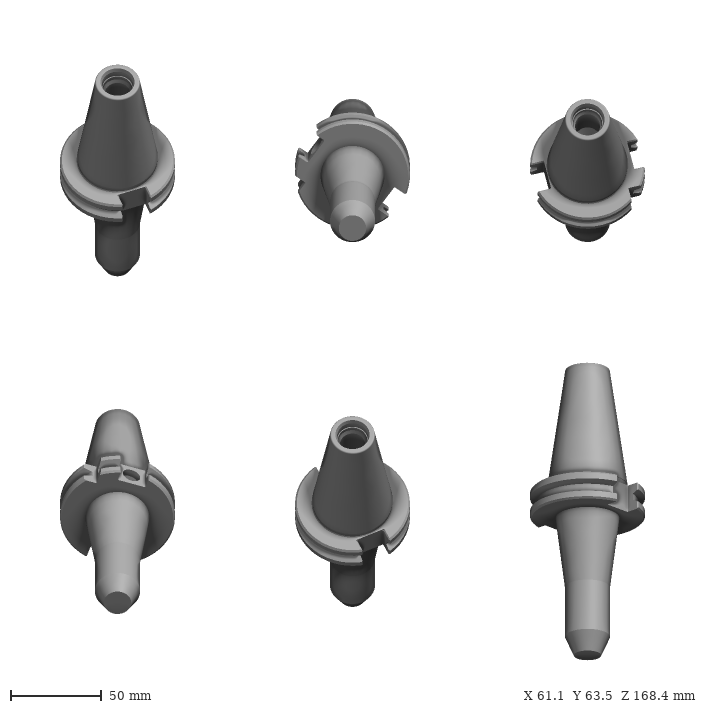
import cadquery as cq
import math

taper_length = 68.4
overall_length = 168.4
body_length = overall_length - taper_length

gauge_radius = 22.2
taper_ratio = 7 / 24
taper_end_radius = gauge_radius - taper_length * taper_ratio / 2
taper_end_rounding = 0.8

flange_radius = 63.5 / 2
flange_top = -3.2
flange_bottom = -19.0
flange_chamfer = 1.0
groove_middle = -11.1
groove_root_radius = 56.0 / 2
groove_root_width = 3.7
groove_mouth_width = 7.2

relief_radius = 22.0
relief_flare = 0.5

nose_top_radius = 17.7
nose_radius = 12.5
nose_cone_end = -60.0
tip_start = -89.0
tip_radius = 7.5

slot_width = 16.0
slot_edge_chamfer = 0.7
slot_corner_radius = 0.7
left_slot_floor = -24.6
right_slot_floor = 22.7

notch_x = -18.7
notch_y = 18.4
floor_hole_diameter = 10.1
floor_hole_depth = 4.2

bore_mouth_radius = 9.5
bore_radius = 8.6
bore_mouth_depth = 2.0
bore_depth = 5.7
thread_relief_radius = 8.0
thread_relief_depth = 8.3
thread_radius = 6.9
thread_start = 10.1
thread_depth = 30.3
drill_point_angle = 118


def revolve_profile(points):
    """Turn a closed (radius, height) outline around the Z axis."""
    return cq.Workplane("XZ").polyline(points).close().revolve(360, (0, 0, 0), (0, 1, 0))


def turned_body():
    root_half = groove_root_width / 2
    mouth_half = groove_mouth_width / 2
    body = revolve_profile([
        (0, taper_length),
        (taper_end_radius, taper_length),
        (gauge_radius, 0),
        (relief_radius, relief_radius - gauge_radius),
        (relief_radius, flange_top + relief_flare),
        (relief_radius + relief_flare, flange_top),
        (flange_radius - flange_chamfer, flange_top),
        (flange_radius, flange_top - flange_chamfer),
        (flange_radius, groove_middle + mouth_half),
        (groove_root_radius, groove_middle + root_half),
        (groove_root_radius, groove_middle - root_half),
        (flange_radius, groove_middle - mouth_half),
        (flange_radius, flange_bottom + flange_chamfer),
        (flange_radius - flange_chamfer, flange_bottom),
        (nose_top_radius, flange_bottom),
        (nose_radius, nose_cone_end),
        (nose_radius, tip_start),
        (tip_radius, -body_length),
        (0, -body_length),
    ])
    return body.faces(">Z").edges().fillet(taper_end_rounding)


def pull_stud_bore():
    point_length = thread_radius / math.tan(math.radians(drill_point_angle / 2))
    return revolve_profile([
        (0, taper_length),
        (bore_mouth_radius, taper_length),
        (bore_radius, taper_length - bore_mouth_depth),
        (bore_radius, taper_length - bore_depth),
        (thread_relief_radius, taper_length - bore_depth),
        (thread_relief_radius, taper_length - thread_relief_depth),
        (thread_radius, taper_length - thread_start),
        (thread_radius, taper_length - thread_depth),
        (0, taper_length - thread_depth - point_length),
    ])


def flange_cut(x_start, x_end, y_start, y_end):
    """Box through the full flange height."""
    return (
        cq.Workplane("XY", origin=(0, 0, flange_bottom))
        .center((x_start + x_end) / 2, (y_start + y_end) / 2)
        .rect(abs(x_end - x_start), abs(y_end - y_start))
        .extrude(flange_top - flange_bottom)
    )


def drive_slot(floor):
    """Slot with rounded floor corners, bevelled along its top and its outer upright edges."""
    side = math.copysign(1, floor)
    outside = side * flange_radius
    half_width = slot_width / 2
    floor_face = "<X" if side > 0 else ">X"
    slot = flange_cut(floor, outside, -half_width, half_width)
    slot = slot.faces(floor_face).edges("|Z").fillet(slot_corner_radius)

    bevel_half = half_width + slot_edge_chamfer
    top_bevel = (
        cq.Workplane("YZ", origin=(floor, 0, 0))
        .polyline([
            (-bevel_half, flange_top),
            (bevel_half, flange_top),
            (half_width, flange_top - slot_edge_chamfer),
            (-half_width, flange_top - slot_edge_chamfer),
        ])
        .close()
        .extrude(outside - floor)
    )

    rim_x = side * math.sqrt(flange_radius**2 - bevel_half**2)
    inner_x = rim_x - side * slot_edge_chamfer
    rim_bevel = (
        cq.Workplane("XY", origin=(0, 0, flange_bottom))
        .polyline([
            (inner_x, -half_width),
            (rim_x, -bevel_half),
            (outside, -bevel_half),
            (outside, bevel_half),
            (rim_x, bevel_half),
            (inner_x, half_width),
        ])
        .close()
        .extrude(flange_top - flange_bottom)
    )
    return slot.union(top_bevel).union(rim_bevel)


def floor_hole():
    return (
        cq.Workplane("YZ", origin=(left_slot_floor, 0, groove_middle))
        .circle(floor_hole_diameter / 2)
        .extrude(floor_hole_depth)
    )


result = (
    turned_body()
    .cut(pull_stud_bore())
    .cut(drive_slot(left_slot_floor))
    .cut(drive_slot(right_slot_floor))
    .cut(flange_cut(-flange_radius, notch_x, notch_y, flange_radius))
    .cut(floor_hole())
)